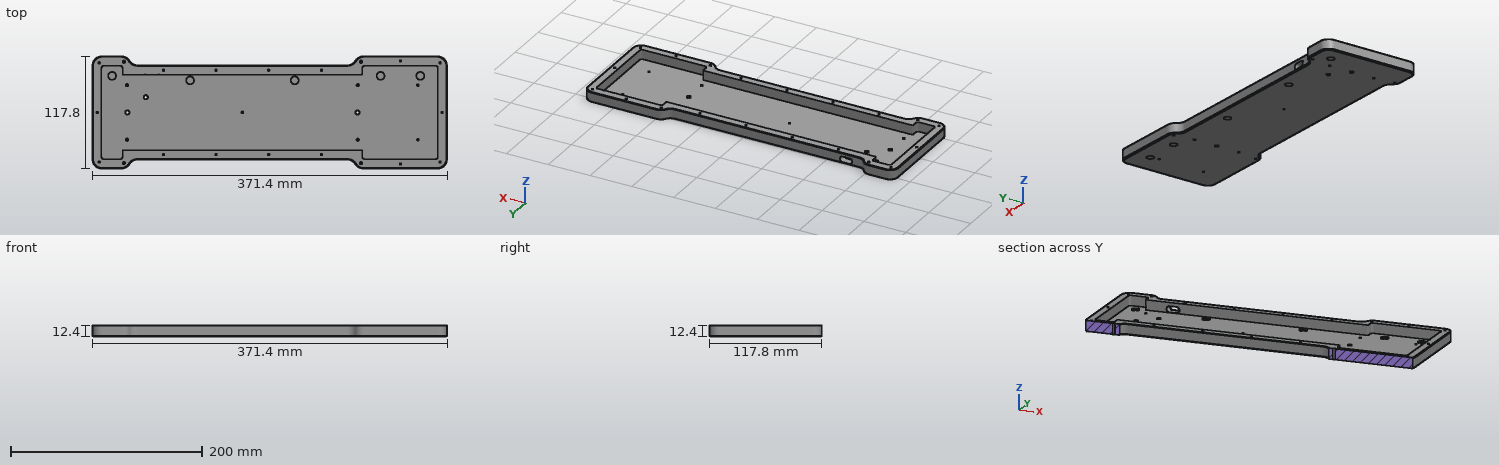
import cadquery as cq
import math

LENGTH = 371.35
WIDTH = 117.75
HEIGHT = 12.4
FLOOR_THICKNESS = 1.15
TOP_CHAMFER = 0.75
BOTTOM_CHAMFER = 1.25

HALF_LENGTH = LENGTH / 2
HALF_WIDTH = WIDTH / 2
SHOULDER_DROP = 9.5
WAIST_HALF_WIDTH = HALF_WIDTH - SHOULDER_DROP
WAIST_CENTER_X = -28.575
CORNER_RADIUS = 10.0
SHOULDER_RADIUS = 10.0
SHOULDER_MIDDLE = 118.3

WALL = 9.5
CAVITY_HALF_LENGTH = HALF_LENGTH - WALL
CAVITY_HALF_WIDTH = 48.875
CAVITY_WAIST_HALF_WIDTH = 39.5
CAVITY_STEP = 125.5
CAVITY_CORNER_RADIUS = 2.5
CAVITY_STEP_RADIUS = 1.0

SCREW_DIAMETER = 1.7
SCREW_DEPTH = 8.0
THROUGH_DIAMETER = 2.2
END_SCREW_X = 180.6
CORNER_SCREW = (178.5, 52.0)
SHOULDER_SCREW_OFFSET = 124.15
SHOULDER_SCREW_Y = 53.1
HEAD_SCREW = (137.0, 54.0)
WAIST_SCREW_PITCH = 55.1
WAIST_SCREW_COUNT = 4
WAIST_SCREW_Y = 44.2

STANDOFF_OFFSET_X = 120.8
STANDOFF_Y = 28.575
OUTER_STANDOFF_X = 155.2
LARGE_HOLE_DIAMETER = 4.2
LARGE_HOLE_OFFSET_X = 120.5
RESET_HOLE = (-129.7, 16.0)

RECESS_DIAMETER = 8.25
RECESS_DEPTH = 0.75
HEAD_RECESS_Y = 38.3
HEAD_RECESS_XS = (-165.0, 116.1, 157.7)
WAIST_RECESS_OFFSET_X = 54.8
WAIST_RECESS_Y = 33.6

SLOT_X = -123.3
SLOT_Z = 5.0
SLOT_WIDTH = 14.5
SLOT_HEIGHT = 6.5


SELECTION_REACH = 0.1


def upright_edges(xs, half_width):
    """Selector for the vertical edges at each x on both sides of the part."""
    boxes = [
        cq.selectors.BoxSelector(
            (x - SELECTION_REACH, side * half_width - SELECTION_REACH, 0),
            (x + SELECTION_REACH, side * half_width + SELECTION_REACH, 2 * HEIGHT),
        )
        for x in xs
        for side in (-1, 1)
    ]
    selector = boxes[0]
    for box in boxes[1:]:
        selector = selector + box
    return selector


def outer_body():
    """Chamfered block with S-shaped shoulders between the heads and the waist."""
    half_drop = SHOULDER_DROP / 2
    run = math.sqrt(SHOULDER_RADIUS**2 - (SHOULDER_RADIUS - half_drop) ** 2)
    left = WAIST_CENTER_X - SHOULDER_MIDDLE
    right = WAIST_CENTER_X + SHOULDER_MIDDLE
    middle_y = HALF_WIDTH - half_drop
    profile = (
        cq.Workplane("XY")
        .moveTo(-HALF_LENGTH, 0)
        .lineTo(-HALF_LENGTH, HALF_WIDTH)
        .lineTo(left - run, HALF_WIDTH)
        .radiusArc((left, middle_y), SHOULDER_RADIUS)
        .radiusArc((left + run, WAIST_HALF_WIDTH), -SHOULDER_RADIUS)
        .lineTo(right - run, WAIST_HALF_WIDTH)
        .radiusArc((right, middle_y), -SHOULDER_RADIUS)
        .radiusArc((right + run, HALF_WIDTH), SHOULDER_RADIUS)
        .lineTo(HALF_LENGTH, HALF_WIDTH)
        .lineTo(HALF_LENGTH, 0)
        .mirrorX()
    )
    body = profile.extrude(HEIGHT)
    body = body.edges(upright_edges((-HALF_LENGTH, HALF_LENGTH), HALF_WIDTH)).fillet(CORNER_RADIUS)
    body = body.faces(">Z").edges().chamfer(TOP_CHAMFER)
    return body.faces("<Z").edges().chamfer(BOTTOM_CHAMFER)


def cavity():
    """Pocket that follows the outline: two heads joined by the waist, with rounded corners."""
    left_step = WAIST_CENTER_X - CAVITY_STEP
    right_step = WAIST_CENTER_X + CAVITY_STEP
    pocket = (
        cq.Workplane("XY", origin=(0, 0, FLOOR_THICKNESS))
        .moveTo(-CAVITY_HALF_LENGTH, 0)
        .lineTo(-CAVITY_HALF_LENGTH, CAVITY_HALF_WIDTH)
        .lineTo(left_step, CAVITY_HALF_WIDTH)
        .lineTo(left_step, CAVITY_WAIST_HALF_WIDTH)
        .lineTo(right_step, CAVITY_WAIST_HALF_WIDTH)
        .lineTo(right_step, CAVITY_HALF_WIDTH)
        .lineTo(CAVITY_HALF_LENGTH, CAVITY_HALF_WIDTH)
        .lineTo(CAVITY_HALF_LENGTH, 0)
        .mirrorX()
        .extrude(HEIGHT)
    )
    head_xs = (-CAVITY_HALF_LENGTH, left_step, right_step, CAVITY_HALF_LENGTH)
    head_corners = upright_edges(head_xs, CAVITY_HALF_WIDTH)
    step_corners = upright_edges((left_step, right_step), CAVITY_WAIST_HALF_WIDTH)
    pocket = pocket.edges(head_corners).fillet(CAVITY_CORNER_RADIUS)
    return pocket.edges(step_corners).fillet(CAVITY_STEP_RADIUS)


def drill(points, diameter, bottom):
    """Vertical cylinders that cut upward from the level `bottom`."""
    plane = cq.Workplane("XY", origin=(0, 0, bottom))
    return plane.pushPoints(points).circle(diameter / 2).extrude(HEIGHT)


def rim_points():
    """Blind screw holes around the rim."""
    points = [(-END_SCREW_X, 0), (END_SCREW_X, 0)]
    for side in (-1, 1):
        for end in (-1, 1):
            points.append((end * CORNER_SCREW[0], side * CORNER_SCREW[1]))
        points.append((HEAD_SCREW[0], side * HEAD_SCREW[1]))
        for index in range(WAIST_SCREW_COUNT):
            offset = (index - (WAIST_SCREW_COUNT - 1) / 2) * WAIST_SCREW_PITCH
            points.append((WAIST_CENTER_X + offset, side * WAIST_SCREW_Y))
    return points


def through_points():
    """Through holes at the shoulders and at the ends of the waist floor."""
    points = []
    for side in (-1, 1):
        for end in (-1, 1):
            points.append((WAIST_CENTER_X + end * SHOULDER_SCREW_OFFSET, side * SHOULDER_SCREW_Y))
            points.append((WAIST_CENTER_X + end * STANDOFF_OFFSET_X, side * STANDOFF_Y))
    return points


def small_floor_points():
    """Small floor holes: one at the waist centre and a pair in the right head."""
    points = [(WAIST_CENTER_X, 0)]
    for side in (-1, 1):
        points.append((OUTER_STANDOFF_X, side * STANDOFF_Y))
    return points


def large_hole_points():
    """Large floor holes: one at each end of the waist and the reset hole."""
    return [
        (WAIST_CENTER_X - LARGE_HOLE_OFFSET_X, 0),
        (WAIST_CENTER_X + LARGE_HOLE_OFFSET_X, 0),
        RESET_HOLE,
    ]


def recess_points():
    """Shallow round recesses along the back of the floor."""
    points = [(x, HEAD_RECESS_Y) for x in HEAD_RECESS_XS]
    for end in (-1, 1):
        points.append((WAIST_CENTER_X + end * WAIST_RECESS_OFFSET_X, WAIST_RECESS_Y))
    return points


def connector_slot():
    """Round-ended slot from the cavity out through the back wall."""
    return (
        cq.Workplane("XZ", origin=(SLOT_X, CAVITY_WAIST_HALF_WIDTH, SLOT_Z))
        .slot2D(SLOT_WIDTH, SLOT_HEIGHT)
        .extrude(-HALF_WIDTH)
    )


result = outer_body().cut(cavity())
result = result.cut(drill(rim_points(), SCREW_DIAMETER, HEIGHT - SCREW_DEPTH))
result = result.cut(drill(small_floor_points(), SCREW_DIAMETER, 0))
result = result.cut(drill(through_points(), THROUGH_DIAMETER, 0))
result = result.cut(drill(large_hole_points(), LARGE_HOLE_DIAMETER, 0))
result = result.cut(drill(recess_points(), RECESS_DIAMETER, FLOOR_THICKNESS - RECESS_DEPTH))
result = result.cut(connector_slot())